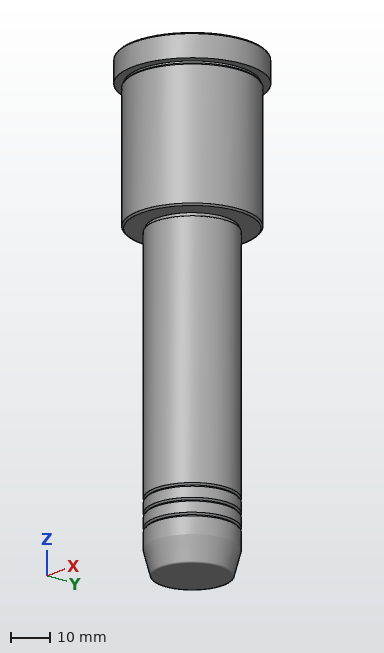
import cadquery as cq
import math

total_length = 140.0
head_diameter = 40.0
head_height = 7.0
body_diameter = 36.0
body_length = 39.0
pin_diameter = 25.0

head_chamfer = 0.5
body_chamfer = 0.5

relief_depth = 0.5
head_relief_width = 0.5
pin_relief_width = 1.0

nose_length = 7.0
nose_half_angle = 15.0
tip_fillet = 0.5

groove_width = 1.0
groove_depth = 0.5
groove_pitch = 4.0
groove_count = 3
lowest_groove_height = 12.5

head_bottom = total_length - head_height
body_bottom = head_bottom - body_length
body_top = head_bottom - head_relief_width
pin_top = body_bottom - pin_relief_width
pin_radius = pin_diameter / 2
tip_radius = pin_radius - nose_length * math.tan(math.radians(nose_half_angle))


def cylinder(diameter, bottom, top):
    return cq.Workplane("XY").workplane(offset=bottom).circle(diameter / 2).extrude(top - bottom)


def ring(section):
    """Revolve a closed (radius, height) outline about the Z axis."""
    return cq.Workplane("XZ").polyline(section).close().revolve(360, (0, 0, 0), (0, 1, 0))


def relief_neck(diameter, bottom, top):
    """Reduced cylinder between the top of a section and the shoulder above it."""
    return cylinder(diameter - 2 * relief_depth, bottom, top)


def make_head():
    return cylinder(head_diameter, head_bottom, total_length).faces(">Z").chamfer(head_chamfer)


def make_body():
    body = cylinder(body_diameter, body_bottom, body_top).edges().chamfer(body_chamfer)
    return body.union(relief_neck(body_diameter, body_top, head_bottom))


def make_pin():
    outline = [
        (0, 0),
        (tip_radius, 0),
        (pin_radius, nose_length),
        (pin_radius, pin_top),
        (0, pin_top),
    ]
    pin = ring(outline).faces("<Z").edges().fillet(tip_fillet)
    return pin.union(relief_neck(pin_diameter, pin_top, body_bottom))


def pin_groove(middle):
    """Ring with a triangular section, its point facing the axis."""
    section = [
        (pin_radius - groove_depth, middle),
        (pin_radius, middle + groove_width / 2),
        (pin_radius, middle - groove_width / 2),
    ]
    return ring(section)


result = make_head().union(make_body()).union(make_pin())
for index in range(groove_count):
    result = result.cut(pin_groove(lowest_groove_height + index * groove_pitch))